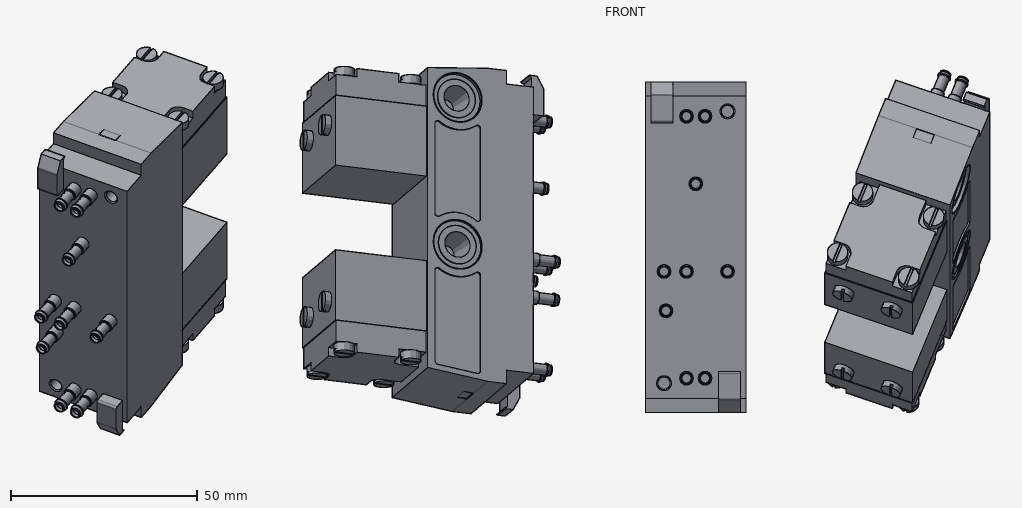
import cadquery as cq
import math


WIDTH = 27.0
LENGTH = 88.8
SEAM_Y = 13.1
BODY_BACK_Y = 30.4
STEP_Y = 7.7
STEP_DROP = 3.8
TAPER_DROP = 1.9
NOTCH_WIDTH = 5.1
NOTCH_DEPTH_Y = 2.7

SOLENOID_WIDTH = 25.2
SOLENOID_BACK_Y = 56.5
SOLENOID_INNER_Z = 12.0
COVER_SEAM_Z = 31.9
COVER_END_Z = 40.2
COVER_INSET = 0.3
OVERRIDE_X = 6.9
OVERRIDE_Z = 25.0
OVERRIDE_HEIGHT = 1.8

HEAD_DIAMETER = 5.5
SLOT_WIDTH = 0.7
SLOT_DEPTH = 0.9
SCREW_X = 10.2
SCREW_FRONT_Y = 34.0
SCREW_BACK_Y = 53.1
POCKET_FLOOR_Z = 37.8
POCKET_INNER_X = 6.7
POCKET_FRONT_END_Y = 38.2
POCKET_BACK_START_Y = 50.2
POCKET_CORNER_RADIUS = 2.7

PORT_Y = 21.8
UPPER_PORT_Z = 35.1
LOWER_PORT_Z = -6.6
UPPER_PORT_RECESS = 1.15
LOWER_PORT_RECESS = 0.5
RECESS_RIM_DIAMETER = 14.0
RECESS_RIM_DEPTH = 0.1
RECESS_DIAMETER = 13.6
PORT_BOSS_DIAMETER = 10.8
PORT_BOSS_HEIGHT = 0.35
PORT_MOUTH_DIAMETER = 7.2
PORT_FLOOR_DIAMETER = 4.8
PORT_DEPTH = 8.9

PANEL_FRONT_Y = 15.2
PANEL_BACK_Y = 28.2
PANEL_PORT_RADIUS = 9.1
PANEL_END_MARGIN = 1.6
PANEL_DEPTH = 0.5
PANEL_CORNER_RADIUS = 0.8

BARB_BASE_DIAMETER = 3.6
BARB_STEM_DIAMETER = 3.0
BARB_BORE_DIAMETER = 2.5
BARB_BASE_LENGTH = 3.2
BARB_BASE_CHAMFER = 0.2
BARB_COLLAR_START = 7.55
BARB_COLLAR_END = 7.9
BARB_CONE_END = 8.6
BARB_LENGTH = 9.15
BARB_TIP_CHAMFER = 0.22
BARB_PAIR_X = 2.5
BARB_END_Z = 35.2
BARB_MIDDLE_Z = 17.05
BARB_ROW_Z = -6.5
BARB_SIDE_X = 8.5
BARB_OFFSET_X = 8.0

HOLE_X = 8.5
HOLE_Z = 36.5
HOLE_DIAMETER = 3.3
HOLE_RIM_DIAMETER = 4.0
HOLE_DEPTH = 7.1

CLIP_WIDTH = 5.95
CLIP_INNER_X = 6.1
CLIP_THICKNESS = 3.55
CLIP_ROOT_Z = 33.3
CLIP_SLOPE_Z = 40.85
CLIP_TIP_THICKNESS = 1.6
CLIP_HOOK_REACH = 0.9
CLIP_HOOK_BEVEL_Y = 0.35
CLIP_HOOK_BEVEL_Z = 0.2
CLIP_HOOK_HEIGHT = 0.7
CLIP_FILLET = 0.6

HALF_LENGTH = LENGTH / 2
SIDE_X = -WIDTH / 2
TAPER_SLOPE = TAPER_DROP / (BODY_BACK_Y - SEAM_Y)


def box(x_range, y_range, z_range):
    """Box between the given pairs of coordinates."""
    size = [high - low for low, high in (x_range, y_range, z_range)]
    corner = cq.Vector(x_range[0], y_range[0], z_range[0])
    return cq.Workplane(cq.Solid.makeBox(*size, pnt=corner))


def cylinder(diameter, length, start, direction):
    return cq.Workplane(cq.Solid.makeCylinder(diameter / 2, length, cq.Vector(*start), cq.Vector(*direction)))


def cone(start_diameter, end_diameter, length, start, direction):
    radii = (start_diameter / 2, end_diameter / 2)
    return cq.Workplane(cq.Solid.makeCone(*radii, length, cq.Vector(*start), cq.Vector(*direction)))


def both_ends(shape):
    """The shape together with its mirror image in Z = 0."""
    return shape.union(shape.mirror("XY"))


def body_end_z(y):
    """Height of the tapered upper end of the valve body."""
    return HALF_LENGTH - TAPER_SLOPE * (y - SEAM_Y)


def housing():
    """Subbase with stepped ends, and the tapered valve body behind it."""
    step_z = HALF_LENGTH - STEP_DROP
    upper = [
        (0, step_z),
        (STEP_Y, step_z),
        (STEP_Y, HALF_LENGTH),
        (SEAM_Y, HALF_LENGTH),
        (BODY_BACK_Y, body_end_z(BODY_BACK_Y)),
    ]
    lower = [(y, -z) for y, z in reversed(upper)]
    solid = cq.Workplane("YZ").polyline(upper + lower).close().extrude(WIDTH / 2, both=True)

    notch_end_y = SEAM_Y + NOTCH_DEPTH_Y
    notch = box(
        (-NOTCH_WIDTH / 2, NOTCH_WIDTH / 2), (SEAM_Y, notch_end_y), (body_end_z(notch_end_y), HALF_LENGTH)
    )
    return solid.cut(both_ends(notch))


def slotted_head(x, y, floor_z, top_z):
    """Screw head along Z with its slot along Y."""
    head = cylinder(HEAD_DIAMETER, top_z - floor_z, (x, y, floor_z), (0, 0, 1))
    slot = box(
        (x - SLOT_WIDTH / 2, x + SLOT_WIDTH / 2),
        (y - HEAD_DIAMETER / 2, y + HEAD_DIAMETER / 2),
        (top_z - SLOT_DEPTH, top_z),
    )
    return head.cut(slot)


def override_head(x):
    """Slotted head on the back of the solenoid, with its slot along Z."""
    top_y = SOLENOID_BACK_Y + OVERRIDE_HEIGHT
    head = cylinder(HEAD_DIAMETER, OVERRIDE_HEIGHT, (x, SOLENOID_BACK_Y, OVERRIDE_Z), (0, 1, 0))
    slot = box(
        (x - SLOT_WIDTH / 2, x + SLOT_WIDTH / 2),
        (top_y - SLOT_DEPTH, top_y),
        (OVERRIDE_Z - HEAD_DIAMETER / 2, OVERRIDE_Z + HEAD_DIAMETER / 2),
    )
    return head.cut(slot)


def cover():
    """End cover with a screw in a rounded pocket at each corner."""
    half_width = SOLENOID_WIDTH / 2 - COVER_INSET
    back_y = SOLENOID_BACK_Y - COVER_INSET
    solid = box((-half_width, half_width), (BODY_BACK_Y, back_y), (COVER_SEAM_Z, COVER_END_Z))
    pocket_z = (POCKET_FLOOR_Z, COVER_END_Z)
    front_pocket_y = (BODY_BACK_Y, POCKET_FRONT_END_Y)
    back_pocket_y = (POCKET_BACK_START_Y, back_y)
    for outer_x in (-half_width, half_width):
        side = math.copysign(1, outer_x)
        pocket_x = sorted((side * POCKET_INNER_X, outer_x))
        inner_edge = "<X" if side > 0 else ">X"
        for pocket_y, corner_end in ((front_pocket_y, ">Y"), (back_pocket_y, "<Y")):
            pocket = box(pocket_x, pocket_y, pocket_z)
            pocket = pocket.faces(inner_edge).edges("|Z").edges(corner_end).fillet(POCKET_CORNER_RADIUS)
            solid = solid.cut(pocket)
        for screw_y in (SCREW_FRONT_Y, SCREW_BACK_Y):
            head = slotted_head(side * SCREW_X, screw_y, POCKET_FLOOR_Z, COVER_END_Z)
            solid = solid.union(head)
    return solid


def solenoid():
    """Upper solenoid with its end cover and two manual overrides."""
    half_width = SOLENOID_WIDTH / 2
    solid = box((-half_width, half_width), (BODY_BACK_Y, SOLENOID_BACK_Y), (SOLENOID_INNER_Z, COVER_SEAM_Z))
    for x in (-OVERRIDE_X, OVERRIDE_X):
        solid = solid.union(override_head(x))
    return solid.union(cover())


def port_cut(z, recess):
    """Stepped ring-shaped recess around a sunken boss, with a blind tapered bore."""
    inward = (1, 0, 0)
    boss_x = SIDE_X + recess - PORT_BOSS_HEIGHT
    rim = cylinder(RECESS_RIM_DIAMETER, RECESS_RIM_DEPTH, (SIDE_X, PORT_Y, z), inward)
    ring = cylinder(RECESS_DIAMETER, recess, (SIDE_X, PORT_Y, z), inward)
    boss = cylinder(PORT_BOSS_DIAMETER, PORT_BOSS_HEIGHT, (boss_x, PORT_Y, z), inward)
    bore = cone(PORT_MOUTH_DIAMETER, PORT_FLOOR_DIAMETER, PORT_DEPTH, (boss_x, PORT_Y, z), inward)
    return rim.union(ring).cut(boss).union(bore)


def panel(front_ends_z, back_ends_z):
    """Panel with straight sides, given the end heights of each side and cut away around the ports."""
    outline = [(PANEL_FRONT_Y, z) for z in front_ends_z] + [(PANEL_BACK_Y, z) for z in reversed(back_ends_z)]
    solid = cq.Workplane("YZ", origin=(SIDE_X, 0, 0)).polyline(outline).close().extrude(PANEL_DEPTH)
    for z in (UPPER_PORT_Z, LOWER_PORT_Z):
        solid = solid.cut(cylinder(2 * PANEL_PORT_RADIUS, PANEL_DEPTH, (SIDE_X, PORT_Y, z), (1, 0, 0)))
    return solid.edges("|X").fillet(PANEL_CORNER_RADIUS)


def panel_cuts():
    """Panel between the ports, and one below them that follows the tapered end of the body."""
    port_span = (LOWER_PORT_Z, UPPER_PORT_Z)
    front_end_z = PANEL_END_MARGIN - body_end_z(PANEL_FRONT_Y)
    back_end_z = PANEL_END_MARGIN - body_end_z(PANEL_BACK_Y)
    between_ports = panel(port_span, port_span)
    below_ports = panel((front_end_z, LOWER_PORT_Z), (back_end_z, LOWER_PORT_Z))
    return between_ports.union(below_ports)


def barb():
    """Tube fitting along -Y with a collar near its tip and a bore as deep as its stem."""
    base_radius = BARB_BASE_DIAMETER / 2
    stem_radius = BARB_STEM_DIAMETER / 2
    bore_radius = BARB_BORE_DIAMETER / 2
    profile = [
        (0, 0),
        (base_radius, 0),
        (base_radius, BARB_BASE_CHAMFER - BARB_BASE_LENGTH),
        (base_radius - BARB_BASE_CHAMFER, -BARB_BASE_LENGTH),
        (stem_radius, -BARB_BASE_LENGTH),
        (stem_radius, -BARB_COLLAR_START),
        (base_radius, -BARB_COLLAR_START),
        (base_radius, -BARB_COLLAR_END),
        (stem_radius, -BARB_CONE_END),
        (stem_radius, BARB_TIP_CHAMFER - BARB_LENGTH),
        (stem_radius - BARB_TIP_CHAMFER, -BARB_LENGTH),
        (bore_radius, -BARB_LENGTH),
        (bore_radius, -BARB_BASE_LENGTH),
        (0, -BARB_BASE_LENGTH),
    ]
    return cq.Workplane("XY").polyline(profile).close().revolve(360, (0, 0, 0), (0, 1, 0))


def barbs():
    places = [(x, z) for x in (-BARB_PAIR_X, BARB_PAIR_X) for z in (-BARB_END_Z, BARB_END_Z)]
    places += [(x, BARB_ROW_Z) for x in (-BARB_SIDE_X, -BARB_PAIR_X, BARB_SIDE_X)]
    places += [(0, BARB_MIDDLE_Z), (-BARB_OFFSET_X, -BARB_MIDDLE_Z)]
    fitting = barb()
    return [fitting.translate((x, 0, z)) for x, z in places]


def screw_hole():
    """Blind hole in the front face with a chamfered rim."""
    rim_depth = (HOLE_RIM_DIAMETER - HOLE_DIAMETER) / 2
    start = (HOLE_X, 0, HOLE_Z)
    rim = cone(HOLE_RIM_DIAMETER, HOLE_DIAMETER, rim_depth, start, (0, 1, 0))
    return rim.union(cylinder(HOLE_DIAMETER, HOLE_DEPTH, start, (0, 1, 0)))


def clip():
    """Upper clip with a sloping front and a small hook reaching back over the subbase end."""
    profile = [
        (0, CLIP_ROOT_Z),
        (-CLIP_THICKNESS, CLIP_ROOT_Z),
        (-CLIP_THICKNESS, CLIP_SLOPE_Z),
        (-CLIP_TIP_THICKNESS, HALF_LENGTH),
        (CLIP_HOOK_REACH - CLIP_HOOK_BEVEL_Y, HALF_LENGTH),
        (CLIP_HOOK_REACH, HALF_LENGTH - CLIP_HOOK_BEVEL_Z),
        (0, HALF_LENGTH - CLIP_HOOK_HEIGHT),
    ]
    start = cq.Workplane("YZ", origin=(-CLIP_INNER_X - CLIP_WIDTH, 0, 0))
    solid = start.polyline(profile).close().extrude(CLIP_WIDTH)
    return solid.faces("<Y").edges("|X").fillet(CLIP_FILLET)


def turned_over(shape):
    """The shape turned half a revolution about the Y axis."""
    return shape.rotate((0, 0, 0), (0, 1, 0), 180)


result = housing().union(both_ends(solenoid()))
result = result.cut(port_cut(UPPER_PORT_Z, UPPER_PORT_RECESS))
result = result.cut(port_cut(LOWER_PORT_Z, LOWER_PORT_RECESS))
result = result.cut(panel_cuts())
for hole in (screw_hole(), turned_over(screw_hole())):
    result = result.cut(hole)
for fitting in barbs():
    result = result.union(fitting)
for retainer in (clip(), turned_over(clip())):
    result = result.union(retainer)